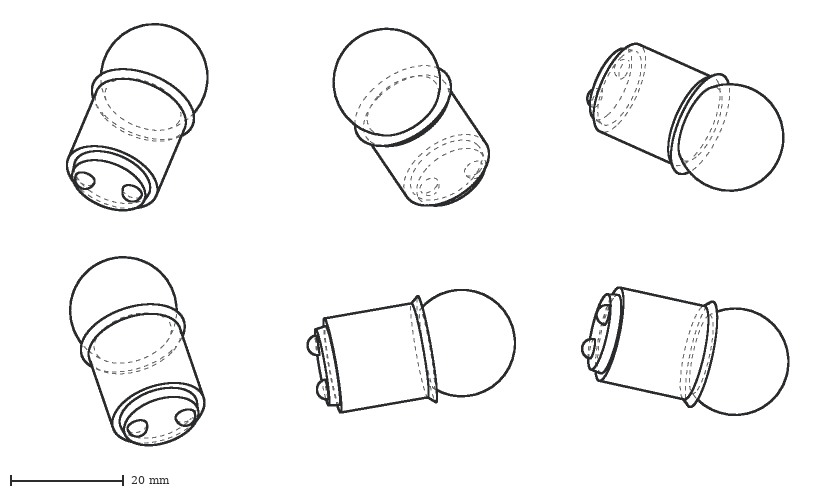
import cadquery as cq

total_length = 36.55
bulb_radius = 9.5
flange_radius = 9.6
shell_radius = 8.52
base_top_radius = 7.15
base_face_radius = 6.87
contact_radius = 1.8
contact_offset = 4.42

flange_thickness = 1.3
shell_length = 15.8
base_length = 1.85

shell_start = base_length
flange_start = shell_start + shell_length
flange_end = flange_start + flange_thickness
bulb_center = total_length - contact_radius - bulb_radius


def make_cap():
    """Tapered base, cylindrical shell and flared flange, turned about Y."""
    profile = [
        (0, 0),
        (base_face_radius, 0),
        (base_top_radius, shell_start),
        (shell_radius, shell_start),
        (shell_radius, flange_start),
        (flange_radius, flange_end),
        (0, flange_end),
    ]
    return cq.Workplane("XY").polyline(profile).close().revolve(360, (0, 0, 0), (0, 1, 0))


def make_ball(radius, x, y):
    """Sphere centred in the Z = 0 plane with its poles along Y."""
    return cq.Workplane("XZ").sphere(radius).translate((x, y, 0))


result = make_cap().union(make_ball(bulb_radius, 0, bulb_center))

for side in (-1, 1):
    result = result.union(make_ball(contact_radius, side * contact_offset, 0))